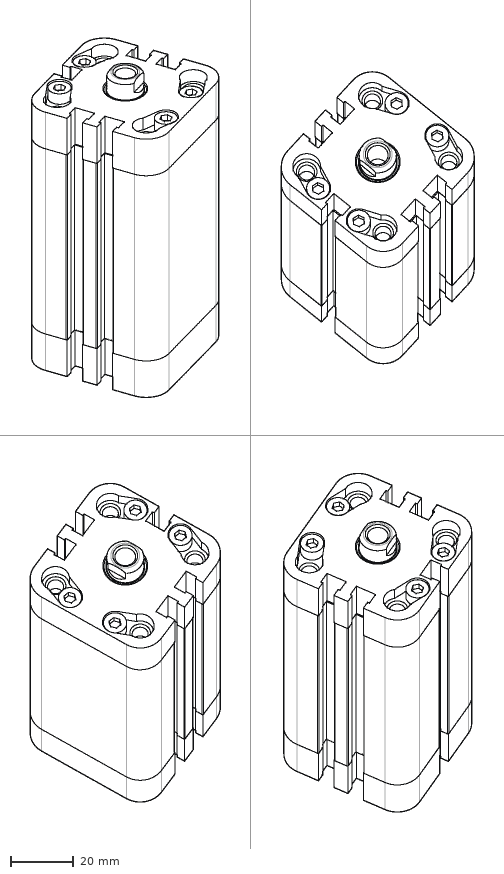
import cadquery as cq
import math

TOTAL_HEIGHT = 105.5
BODY_WIDTH = 49.0
CORNER_RADIUS = 8.2
ROD_PROTRUSION = 6.4
CAP_HEIGHT = 14.0
BODY_HEIGHT = TOTAL_HEIGHT - ROD_PROTRUSION
BARREL_HEIGHT = BODY_HEIGHT - 2 * CAP_HEIGHT
HALF_WIDTH = BODY_WIDTH / 2

CAP_SLOT_DEPTH = 6.9
BARREL_SLOT_DEPTH = 6.4
SLOT_LIP = 2.8
SLOT_INNER_WIDTH = 7.1
MOUTH_WIDTH = 5.7
BARREL_MOUTH_CHAMFER = 0.3
SLOT_PITCH = 10.9

MOUNT_HOLE_OFFSET = 16.2
MOUNT_HOLE_DIAMETER = 5.2
MOUNT_SINK_DIAMETER = 6.6
MOUNT_HOLE_DEPTH = 6.3
POCKET_DIAMETER = 9.0
POCKET_SLOT_WIDTH = 8.0
POCKET_DEPTH = 4.5
SCREW_X = 19.4
SCREW_Y = 8.7
SCREW_HEAD_DIAMETER = 7.5
SCREW_HEAD_HEIGHT = 4.0
HEX_ACROSS_CORNERS = 4.0
HEX_DEPTH = 2.1
HEX_TURN = -15.0

ROD_DIAMETER = 12.0
ROD_EDGE_HEIGHT = 1.1
ROD_FACE_DIAMETER = 9.3
ROD_FLATS_WIDTH = 10.0
ROD_FLATS_HEIGHT = 4.4
ROD_HOLE_DIAMETER = 6.6
ROD_SINK_DIAMETER = 8.0
ROD_HOLE_DEPTH = 12.7

RECESS_DIAMETER = 13.7
RECESS_MOUTH_DIAMETER = 14.5
SEAL_DIAMETER = 12.6
SEAL_DEPTH = 0.6


def slot_cutter(depth, mouth_chamfer, height):
    """One T-shaped slot opening towards -Y, centred on X = 0."""
    mouth_x = MOUTH_WIDTH / 2
    inner_x = SLOT_INNER_WIDTH / 2
    slot = (
        cq.Workplane("XY")
        .rect(MOUTH_WIDTH, 2 * SLOT_LIP)
        .extrude(height)
        .union(
            cq.Workplane("XY")
            .moveTo(-inner_x, SLOT_LIP)
            .lineTo(inner_x, SLOT_LIP)
            .lineTo(inner_x, depth)
            .lineTo(-inner_x, depth)
            .close()
            .extrude(height)
        )
    )
    if mouth_chamfer:
        bevel = (
            cq.Workplane("XY")
            .moveTo(-mouth_x - mouth_chamfer, 0)
            .lineTo(mouth_x + mouth_chamfer, 0)
            .lineTo(mouth_x, mouth_chamfer)
            .lineTo(-mouth_x, mouth_chamfer)
            .close()
            .extrude(height)
        )
        slot = slot.union(bevel)
    return slot.translate((0, -HALF_WIDTH, 0))


def slotted_block(height, slot_depth, mouth_chamfer=0.0):
    """Rounded square block with two slots on each Y side and one on the -X side."""
    block = (
        cq.Workplane("XY")
        .box(BODY_WIDTH, BODY_WIDTH, height, centered=(True, True, False))
        .edges("|Z")
        .fillet(CORNER_RADIUS)
    )
    cutter = slot_cutter(slot_depth, mouth_chamfer, height)
    for x in (-SLOT_PITCH / 2, SLOT_PITCH / 2):
        slot = cutter.translate((x, 0, 0))
        block = block.cut(slot).cut(slot.mirror("XZ"))
    return block.cut(cutter.rotate((0, 0, 0), (0, 0, 1), -90))


def frustum(bottom_diameter, top_diameter, height):
    """Cone section standing on Z = 0."""
    return (
        cq.Workplane("XY")
        .circle(bottom_diameter / 2)
        .workplane(offset=height)
        .circle(top_diameter / 2)
        .loft(ruled=True)
    )


def pocket_cutter():
    """Pocket and mounting hole of the +X +Y corner, measured down from Z = 0."""
    run_x = SCREW_X - MOUNT_HOLE_OFFSET
    run_y = SCREW_Y - MOUNT_HOLE_OFFSET
    slot = (
        cq.Workplane("XY")
        .slot2D(math.hypot(run_x, run_y) + POCKET_SLOT_WIDTH, POCKET_SLOT_WIDTH)
        .extrude(-POCKET_DEPTH)
        .rotate((0, 0, 0), (0, 0, 1), math.degrees(math.atan2(run_y, run_x)))
        .translate((run_x / 2, run_y / 2, 0))
    )
    pocket = cq.Workplane("XY").circle(POCKET_DIAMETER / 2).extrude(-POCKET_DEPTH).union(slot)
    hole_depth = POCKET_DEPTH + MOUNT_HOLE_DEPTH
    sink_depth = (MOUNT_SINK_DIAMETER - MOUNT_HOLE_DIAMETER) / 2
    hole = cq.Workplane("XY").circle(MOUNT_HOLE_DIAMETER / 2).extrude(-hole_depth)
    sink = frustum(MOUNT_HOLE_DIAMETER, MOUNT_SINK_DIAMETER, sink_depth)
    sink = sink.translate((0, 0, -POCKET_DEPTH - sink_depth))
    return pocket.union(hole).union(sink).translate((MOUNT_HOLE_OFFSET, MOUNT_HOLE_OFFSET, 0))


def screw_head(x, y):
    """Socket screw head standing on a pocket floor."""
    socket = (
        cq.Workplane("XY")
        .polygon(6, HEX_ACROSS_CORNERS)
        .extrude(-HEX_DEPTH)
        .rotate((0, 0, 0), (0, 0, 1), HEX_TURN)
        .translate((0, 0, SCREW_HEAD_HEIGHT))
    )
    head = cq.Workplane("XY").circle(SCREW_HEAD_DIAMETER / 2).extrude(SCREW_HEAD_HEIGHT).cut(socket)
    return head.translate((x, y, -POCKET_DEPTH))


def make_rear_cap():
    return slotted_block(CAP_HEIGHT, CAP_SLOT_DEPTH)


def make_barrel():
    return slotted_block(BARREL_HEIGHT, BARREL_SLOT_DEPTH, BARREL_MOUTH_CHAMFER).translate((0, 0, CAP_HEIGHT))


def make_front_cap():
    cap = slotted_block(CAP_HEIGHT, CAP_SLOT_DEPTH).translate((0, 0, -CAP_HEIGHT))
    pocket = pocket_cutter()
    for side_pocket in (pocket, pocket.mirror("YZ")):
        cap = cap.cut(side_pocket).cut(side_pocket.mirror("XZ"))
    for x in (-SCREW_X, SCREW_X):
        for y in (-SCREW_Y, SCREW_Y):
            cap = cap.union(screw_head(x, y))
    recess_depth = (RECESS_MOUTH_DIAMETER - RECESS_DIAMETER) / 2
    recess = frustum(RECESS_DIAMETER, RECESS_MOUTH_DIAMETER, recess_depth)
    cap = cap.cut(cq.Workplane("XY").circle(ROD_DIAMETER / 2).extrude(-CAP_HEIGHT))
    cap = cap.cut(cq.Workplane("XY").circle(SEAL_DIAMETER / 2).extrude(-SEAL_DEPTH))
    cap = cap.cut(recess.translate((0, 0, -recess_depth)))
    return cap.translate((0, 0, BODY_HEIGHT))


def make_rod():
    length = CAP_HEIGHT + ROD_PROTRUSION
    rod_radius = ROD_DIAMETER / 2
    face_radius = ROD_FACE_DIAMETER / 2
    edge_width = rod_radius - face_radius
    edge_radius = (edge_width**2 + ROD_EDGE_HEIGHT**2) / (2 * ROD_EDGE_HEIGHT)
    mid_angle = math.asin(edge_width / edge_radius) / 2
    edge_middle = (
        face_radius + edge_radius * math.sin(mid_angle),
        length - edge_radius * (1 - math.cos(mid_angle)),
    )
    rod = (
        cq.Workplane("XZ")
        .lineTo(rod_radius, 0)
        .lineTo(rod_radius, length - ROD_EDGE_HEIGHT)
        .threePointArc(edge_middle, (face_radius, length))
        .lineTo(0, length)
        .close()
        .revolve(360, (0, 0, 0), (0, 1, 0))
    )
    flat_x = ROD_FLATS_WIDTH / 2
    run_out = rod_radius - flat_x
    for side in (-1, 1):
        flat = (
            cq.Workplane("XZ")
            .moveTo(side * flat_x, length)
            .lineTo(side * flat_x, length - ROD_FLATS_HEIGHT)
            .lineTo(side * rod_radius, length - ROD_FLATS_HEIGHT - run_out)
            .lineTo(side * rod_radius, length)
            .close()
            .extrude(rod_radius, both=True)
        )
        rod = rod.cut(flat)
    sink_depth = (ROD_SINK_DIAMETER - ROD_HOLE_DIAMETER) / 2
    sink = frustum(ROD_HOLE_DIAMETER, ROD_SINK_DIAMETER, sink_depth).translate((0, 0, length - sink_depth))
    hole = cq.Workplane("XY").circle(ROD_HOLE_DIAMETER / 2).extrude(ROD_HOLE_DEPTH)
    rod = rod.cut(sink).cut(hole.translate((0, 0, length - ROD_HOLE_DEPTH)))
    return rod.translate((0, 0, BODY_HEIGHT - CAP_HEIGHT))


rear_cap = make_rear_cap()
barrel = make_barrel()
front_cap = make_front_cap()
rod = make_rod()

result = cq.Compound.makeCompound([rear_cap.val(), barrel.val(), front_cap.val(), rod.val()])